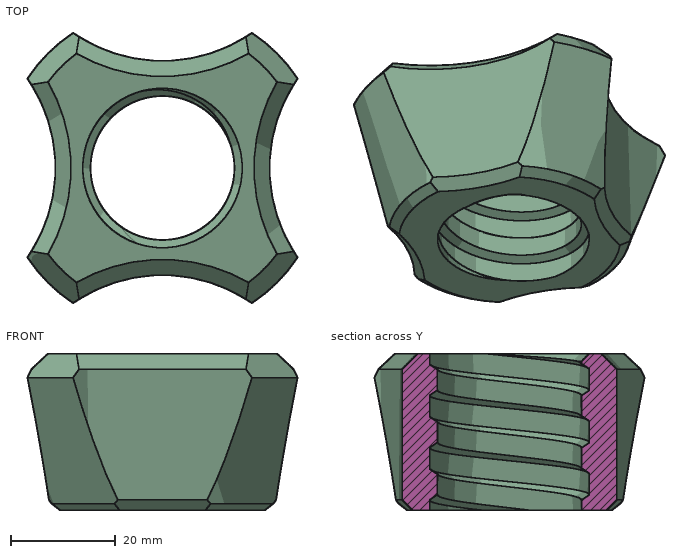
import cadquery as cq

height = 30.0
cone_bottom_radius = 22.7
cone_top_radius = 32.5
top_bevel_height = 4.6
top_face_radius = 27.4
bottom_bevel_height = 1.3
bottom_face_radius = 21.2

scallop_count = 4
scallop_radius = 30.0
scallop_floor_distance = 20.5
scallop_top_chamfer = 3.0
scallop_bottom_chamfer = 2.0

crest_radius = 13.75
thread_depth = 1.5
thread_pitch = 10.0
crest_width = 4.0
groove_root_width = 4.0
ridge_embed = 1.0
thread_overrun = 20.0

root_radius = crest_radius + thread_depth
ridge_base_width = thread_pitch - groove_root_width
mouth_cutter_overrun = 1.0


def cone_radius(z):
    slope = (cone_top_radius - cone_bottom_radius) / height
    return cone_bottom_radius + slope * z


def make_body():
    top_bevel_z = height - top_bevel_height
    return (
        cq.Workplane("XZ")
        .moveTo(0, 0)
        .lineTo(bottom_face_radius, 0)
        .lineTo(cone_radius(bottom_bevel_height), bottom_bevel_height)
        .lineTo(cone_radius(top_bevel_z), top_bevel_z)
        .lineTo(top_face_radius, height)
        .lineTo(0, height)
        .close()
        .revolve(360, (0, 0, 0), (0, 1, 0))
    )


def make_scallop_cutter():
    """Cylinder flared at both ends, so it cuts a scallop and its edge chamfers."""
    cutter = (
        cq.Workplane("XZ")
        .moveTo(0, 0)
        .lineTo(scallop_radius + scallop_bottom_chamfer, 0)
        .lineTo(scallop_radius, scallop_bottom_chamfer)
        .lineTo(scallop_radius, height - scallop_top_chamfer)
        .lineTo(scallop_radius + scallop_top_chamfer, height)
        .lineTo(0, height)
        .close()
        .revolve(360, (0, 0, 0), (0, 1, 0))
    )
    return cutter.translate((scallop_floor_distance + scallop_radius, 0, 0))


def make_mouth_chamfer_cutter():
    """Cone that bevels the thread crests at 45 degrees, reaching the root radius at the top face."""
    cone_tip_z = height - root_radius
    cone_end_z = height + mouth_cutter_overrun
    return (
        cq.Workplane("XZ")
        .moveTo(0, cone_tip_z)
        .lineTo(root_radius + mouth_cutter_overrun, cone_end_z)
        .lineTo(0, cone_end_z)
        .close()
        .revolve(360, (0, 0, 0), (0, 1, 0))
    )


def make_thread_ridge():
    """Helical ridge, centred on z = 0 on the +X side and trimmed to the part height."""
    helix_height = height + 2 * thread_overrun
    helix = cq.Wire.makeHelix(thread_pitch, helix_height, crest_radius)

    flank_slope = (ridge_base_width - crest_width) / (2 * thread_depth)
    crest_half_width = crest_width / 2
    embedded_radius = root_radius + ridge_embed
    embedded_half_width = ridge_base_width / 2 + flank_slope * ridge_embed
    ridge = (
        cq.Workplane("XZ")
        .moveTo(crest_radius, -crest_half_width)
        .lineTo(crest_radius, crest_half_width)
        .lineTo(embedded_radius, embedded_half_width)
        .lineTo(embedded_radius, -embedded_half_width)
        .close()
        .sweep(cq.Workplane(obj=helix), isFrenet=True)
        .translate((0, 0, -thread_overrun))
    )
    trim = cq.Workplane("XY").circle(cone_bottom_radius).extrude(height)
    return ridge.intersect(trim)


body = make_body()
scallop_cutter = make_scallop_cutter()
for index in range(scallop_count):
    angle = index * 360 / scallop_count
    body = body.cut(scallop_cutter.rotate((0, 0, 0), (0, 0, 1), angle))

root_bore = cq.Workplane("XY").circle(root_radius).extrude(height)
body = body.cut(root_bore).union(make_thread_ridge())
result = body.cut(make_mouth_chamfer_cutter())